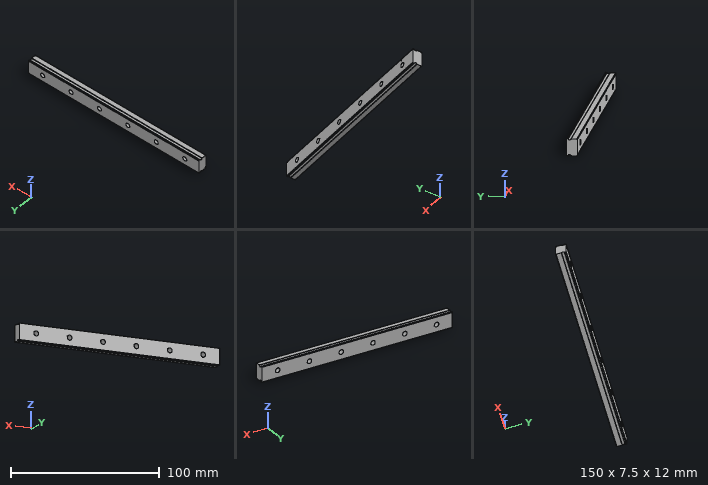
import cadquery as cq
import math

length = 150.0
thickness = 7.5
height = 12.0
front_chamfer = 0.5
back_chamfer = 0.3

groove_radius = 1.0
groove_depth = 0.8
groove_from_back = 2.2
rim_chamfer = 0.2

hole_count = 6
hole_diameter = 3.5
hole_pitch = length / hole_count


def make_bar():
    """Plain bar, centred on the origin, with its four long edges chamfered."""
    bar = cq.Workplane("XY").box(length, thickness, height)
    bar = bar.faces("<Y").edges("|X").chamfer(front_chamfer)
    return bar.faces(">Y").edges("|X").chamfer(back_chamfer)


def make_groove(side):
    """Round cutter for the top (side = 1) or bottom (side = -1) face."""
    center_y = thickness / 2 - groove_from_back
    center_z = side * (height / 2 - groove_depth + groove_radius)
    return (
        cq.Workplane("YZ")
        .center(center_y, center_z)
        .circle(groove_radius)
        .extrude(length / 2, both=True)
    )


def chamfer_rims(bar, side):
    """Break the two long edges where a groove meets its face."""
    rim_offset = math.sqrt(groove_radius**2 - (groove_radius - groove_depth) ** 2)
    center_y = thickness / 2 - groove_from_back
    for y in (center_y - rim_offset, center_y + rim_offset):
        rim = cq.selectors.NearestToPointSelector((0, y, side * height / 2))
        bar = bar.edges("|X").edges(rim).chamfer(rim_chamfer)
    return bar


def make_holes():
    """Cutters for the mounting holes, running through the thickness."""
    return (
        cq.Workplane("XZ")
        .rarray(hole_pitch, 1.5, hole_count, 1)
        .circle(hole_diameter / 2)
        .extrude(thickness, both=True)
    )


result = make_bar()
for side in (1, -1):
    result = chamfer_rims(result.cut(make_groove(side)), side)
result = result.cut(make_holes())